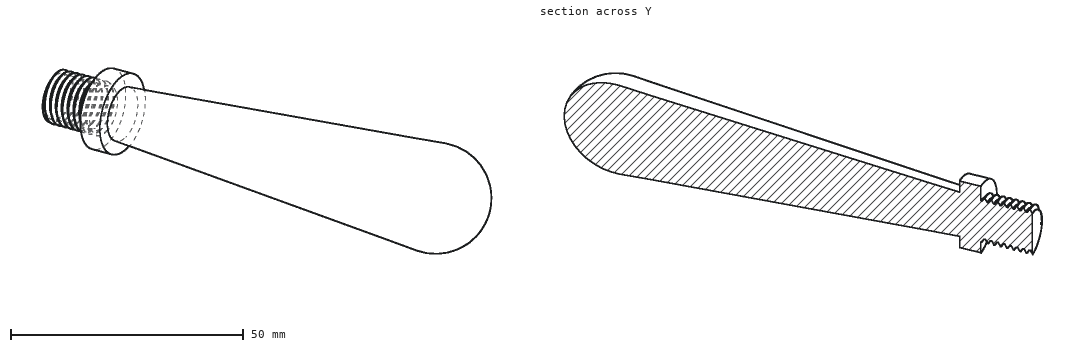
import cadquery as cq
import math

STUD_LENGTH = 12.0
THREAD_DIAMETER = 12.0
THREAD_PITCH = 1.5
FLANK_HALF_ANGLE = math.radians(30.0)
CREST_FLAT = THREAD_PITCH / 8
ROOT_FLAT = THREAD_PITCH / 6
GROOVE_LEAD_IN = 0.85

COLLAR_DIAMETER = 18.0
COLLAR_LENGTH = 5.0

OVERALL_LENGTH = 109.0
NECK_RADIUS = 6.0
BALL_RADIUS = 12.0

THREAD_RADIUS = THREAD_DIAMETER / 2
THREAD_DEPTH = (THREAD_PITCH - CREST_FLAT - ROOT_FLAT) / (2 * math.tan(FLANK_HALF_ANGLE))
ROOT_RADIUS = THREAD_RADIUS - THREAD_DEPTH
CUTTER_OVERLAP = 0.1


def make_groove_cutter():
    """Helical V groove around +Z that overruns both ends of the stud."""
    outer_radius = THREAD_RADIUS + CUTTER_OVERLAP
    root_half_width = ROOT_FLAT / 2
    outer_half_width = root_half_width + (outer_radius - ROOT_RADIUS) * math.tan(FLANK_HALF_ANGLE)
    helix_height = STUD_LENGTH + 2 * GROOVE_LEAD_IN
    helix = cq.Wire.makeHelix(THREAD_PITCH, helix_height, THREAD_RADIUS)
    groove_outline = cq.Workplane("XZ").polyline(
        [
            (ROOT_RADIUS, -root_half_width),
            (outer_radius, -outer_half_width),
            (outer_radius, outer_half_width),
            (ROOT_RADIUS, root_half_width),
        ]
    ).close()
    cutter = groove_outline.sweep(cq.Workplane(obj=helix), isFrenet=True)
    return cutter.translate((0, 0, -GROOVE_LEAD_IN))


def make_stud():
    """Threaded stud, cut along +Z and then laid along +X."""
    blank = cq.Workplane("XY").circle(THREAD_RADIUS).extrude(STUD_LENGTH)
    blank = blank.rotate((0, 0, 0), (0, 0, 1), 180)
    threaded = blank.cut(make_groove_cutter())
    return threaded.rotate((0, 0, 0), (0, 1, 0), 90)


def make_handle():
    """Collar, tapered grip and ball end, revolved around the X axis."""
    collar_radius = COLLAR_DIAMETER / 2
    neck_x = STUD_LENGTH + COLLAR_LENGTH
    ball_x = OVERALL_LENGTH - BALL_RADIUS

    neck_to_ball = ball_x - neck_x
    centre_distance = math.hypot(neck_to_ball, NECK_RADIUS)
    taper_angle = math.asin(BALL_RADIUS / centre_distance) - math.atan2(NECK_RADIUS, neck_to_ball)
    tangent_point = (
        ball_x - BALL_RADIUS * math.sin(taper_angle),
        BALL_RADIUS * math.cos(taper_angle),
    )
    arc_offset = BALL_RADIUS * math.sqrt(0.5)

    profile = (
        cq.Workplane("XY")
        .moveTo(STUD_LENGTH, 0)
        .lineTo(STUD_LENGTH, collar_radius)
        .lineTo(neck_x, collar_radius)
        .lineTo(neck_x, NECK_RADIUS)
        .lineTo(*tangent_point)
        .threePointArc((ball_x + arc_offset, arc_offset), (OVERALL_LENGTH, 0))
        .close()
    )
    return profile.revolve(360, (0, 0, 0), (1, 0, 0))


result = cq.Workplane(obj=make_handle().union(make_stud()).solids().val())